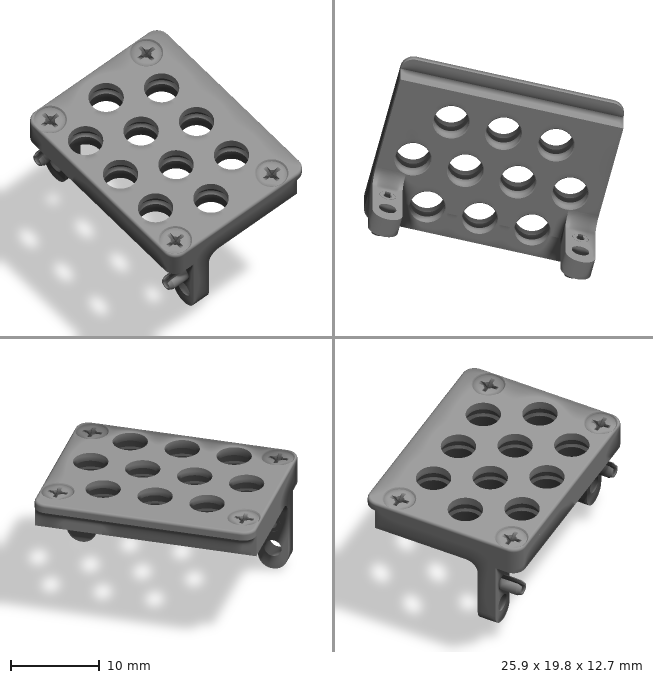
import cadquery as cq


width = 25.9
depth = 19.82
cover_thickness = 1.0
corner_radius = 1.5
top_edge_radius = 0.3

rear_overhang = corner_radius
bracket_depth = depth - rear_overhang
total_height = 12.65
lip_height = 2.45
body_height = 2.65

leg_width = 3.5
leg_thickness = 2.25
leg_front = 3.0
leg_rear = leg_front + leg_thickness
leg_bottom = cover_thickness - total_height
leg_end_radius = leg_width / 2
leg_root_radius = 1.5
leg_x = width / 2 - leg_width / 2
leg_hole_diameter = 2.02
leg_hole_z = -9.0

pin_z = -5.9
pin_hole_diameter = 1.85
pin_diameter = 1.8
pin_bore = 0.93
pin_slot = 0.62
pin_protrusion = 2.65
pin_bevel_length = 0.5
pin_bevel_depth = 0.2

window_diameter = 4.0
window_pitch = 6.1
row_pitch = 5.62
middle_row_y = 8.8
row_counts = (3, 4, 3)
pocket_diameter = 5.08
pocket_depth = 1.05
outlet_chamfer = 0.1

screw_x = 10.9
screw_front_y = 2.02
screw_rear_y = 16.27
head_diameter = 3.5
countersink_diameter = 3.8
shank_diameter = 2.0
shank_length = 1.55
recess_span = 2.35
recess_arm_width = 0.47
recess_depth = 0.73
recess_floor_diameter = 0.62
recess_core_diameter = 1.15
recess_core_floor_diameter = 0.73
recess_tip_depth = 0.4

head_top = cover_thickness - (countersink_diameter - head_diameter) / 2
head_bottom = head_top - (head_diameter - shank_diameter) / 2

window_centres = [
    ((column - (count - 1) / 2) * window_pitch, middle_row_y + (row - 1) * row_pitch)
    for row, count in enumerate(row_counts)
    for column in range(count)
]
screw_centres = [(side * screw_x, y) for side in (-1, 1) for y in (screw_front_y, screw_rear_y)]
leg_centres = [-leg_x, leg_x]


def box(x_size, y_start, y_end, z_start, z_end):
    """Block centred on X between the given Y and Z limits."""
    return cq.Workplane("XY").box(
        x_size, y_end - y_start, z_end - z_start, centered=(True, False, False)
    ).translate((0, y_start, z_start))


def cylinders(centres, diameter, z_start, z_end):
    """Vertical cylinders at the given centres."""
    return (
        cq.Workplane("XY").workplane(offset=z_start)
        .pushPoints(centres).circle(diameter / 2).extrude(z_end - z_start)
    )


def make_cover():
    cover = box(width, 0, depth, 0, cover_thickness)
    cover = cover.edges("|Z").fillet(corner_radius)
    cover = cover.faces(">Z").edges().fillet(top_edge_radius)
    cover = cover.cut(cylinders(window_centres, window_diameter, 0, cover_thickness))
    cover = cover.cut(cylinders(screw_centres, shank_diameter, 0, cover_thickness))
    sink_depth = (countersink_diameter - shank_diameter) / 2
    for x, y in screw_centres:
        sink = cq.Solid.makeCone(
            shank_diameter / 2, countersink_diameter / 2, sink_depth,
            pnt=cq.Vector(x, y, cover_thickness - sink_depth),
        )
        cover = cover.cut(cq.Workplane(sink))
    return cover


def make_leg(x):
    """Leg with a rounded lower end and a filleted root behind it."""
    shaft_bottom = leg_bottom + leg_end_radius
    leg = box(leg_width, leg_front, leg_rear, shaft_bottom, -lip_height)
    rounded_end = (
        cq.Workplane("XZ", origin=(0, leg_rear, shaft_bottom))
        .circle(leg_end_radius).extrude(leg_thickness)
    )
    root = (
        cq.Workplane("YZ", origin=(-leg_width / 2, 0, 0))
        .moveTo(leg_rear, -body_height)
        .lineTo(leg_rear + leg_root_radius, -body_height)
        .radiusArc((leg_rear, -body_height - leg_root_radius), -leg_root_radius)
        .close().extrude(leg_width)
    )
    return leg.union(rounded_end).union(root).translate((x, 0, 0))


def make_bracket():
    bracket = box(width, 0, bracket_depth, -lip_height, 0)
    bracket = bracket.edges("|Z and <Y").fillet(corner_radius)
    bracket = bracket.union(box(width, leg_front, bracket_depth, -body_height, -lip_height))
    for x in leg_centres:
        bracket = bracket.union(make_leg(x))
    for z, diameter in ((pin_z, pin_hole_diameter), (leg_hole_z, leg_hole_diameter)):
        holes = (
            cq.Workplane("XZ", origin=(0, leg_rear, z))
            .pushPoints([(x, 0) for x in leg_centres])
            .circle(diameter / 2).extrude(leg_thickness)
        )
        bracket = bracket.cut(holes)
    bracket = bracket.cut(cylinders(window_centres, window_diameter, -body_height, 0))
    bracket = bracket.cut(cylinders(window_centres, pocket_diameter, -pocket_depth, 0))
    for x, y in window_centres:
        chamfer = cq.Solid.makeCone(
            window_diameter / 2 + outlet_chamfer, window_diameter / 2, outlet_chamfer,
            pnt=cq.Vector(x, y, -body_height),
        )
        bracket = bracket.cut(cq.Workplane(chamfer))
    return bracket.cut(cylinders(screw_centres, shank_diameter, -shank_length, 0))


def make_pin(x):
    """Slotted spring pin along Y, flush with the back of the leg, bevelled at its front end."""
    front = leg_front - pin_protrusion
    outer = pin_diameter / 2
    pin = (
        cq.Workplane("XY")
        .moveTo(-pin_bore / 2, leg_rear)
        .lineTo(-outer, leg_rear)
        .lineTo(-outer, front + pin_bevel_length)
        .lineTo(-outer + pin_bevel_depth, front)
        .lineTo(-pin_bore / 2, front)
        .close().revolve(360, (0, 0, 0), (0, 1, 0))
    )
    pin = pin.cut(box(pin_slot, front, leg_rear, 0, outer))
    return pin.translate((x, 0, pin_z))


def make_recess():
    """Cross recess: two crossed bars bounded by a cone, around a tapered core with a conical tip."""
    bottom = head_top - recess_depth
    taper = cq.Workplane(cq.Solid.makeCone(
        recess_floor_diameter / 2, recess_span / 2, recess_depth, pnt=cq.Vector(0, 0, bottom)
    ))
    bar = cq.Workplane("XY").workplane(offset=bottom).rect(recess_span, recess_arm_width).extrude(recess_depth)
    cross = bar.union(bar.rotate((0, 0, 0), (0, 0, 1), 90))
    core = (
        cq.Workplane("XZ")
        .moveTo(0, head_top)
        .lineTo(recess_core_diameter / 2, head_top)
        .lineTo(recess_core_floor_diameter / 2, bottom)
        .lineTo(0, bottom - recess_tip_depth)
        .close().revolve(360, (0, 0, 0), (0, 1, 0))
    )
    return taper.intersect(cross).union(core)


def make_screw(x, y):
    profile = (
        cq.Workplane("XZ")
        .moveTo(0, head_top)
        .lineTo(head_diameter / 2, head_top)
        .lineTo(shank_diameter / 2, head_bottom)
        .lineTo(shank_diameter / 2, -shank_length)
        .lineTo(0, -shank_length)
        .close()
    )
    screw = profile.revolve(360, (0, 0, 0), (0, 1, 0))
    return screw.cut(make_recess()).translate((x, y, 0))


cover = make_cover()
bracket = make_bracket()
pins = [make_pin(x) for x in leg_centres]
screws = [make_screw(x, y) for x, y in screw_centres]

result = cq.Compound.makeCompound(
    [cover.val(), bracket.val(), *[pin.val() for pin in pins], *[screw.val() for screw in screws]]
)